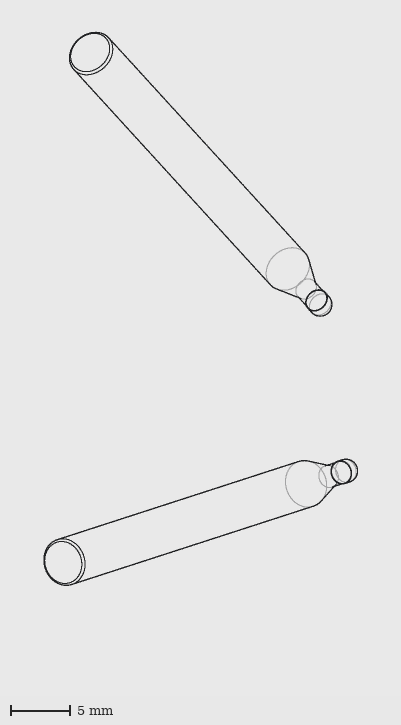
import cadquery as cq
import math

total_length = 50.0
shank_radius = 2.0
shank_length = 42.1
shank_chamfer = 0.2
neck_start = 46.0
neck_radius = 0.95
head_length = 1.8
ball_radius = 1.0

head_start = total_length - head_length
ball_center = total_length - ball_radius
ball_mid_offset = ball_radius * math.sqrt(0.5)

profile = (
    cq.Workplane("XY")
    .moveTo(0, 0)
    .lineTo(0, shank_radius - shank_chamfer)
    .lineTo(shank_chamfer, shank_radius)
    .lineTo(shank_length, shank_radius)
    .lineTo(neck_start, neck_radius)
    .lineTo(head_start, neck_radius)
    .lineTo(head_start, ball_radius)
    .lineTo(ball_center, ball_radius)
    .threePointArc((ball_center + ball_mid_offset, ball_mid_offset), (total_length, 0))
    .close()
)

result = profile.revolve(360, (0, 0, 0), (1, 0, 0))